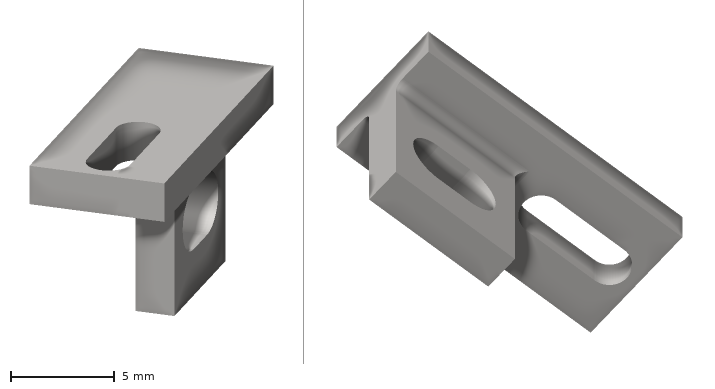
import cadquery as cq

plate_length = 16
plate_width = 6.9
plate_thickness = 2.0

total_height = 10.5
web_height = total_height - plate_thickness
web_thickness = 2.0
web_length = 7.5
root_fillet = 0.5

plate_slot_length = 6.5
plate_slot_width = 2.2
plate_slot_end_margin = 0.6

web_slot_length = 5.2
web_slot_width = 3.2
web_slot_from_back = 3.7
web_slot_above_bottom = 4

back_y = plate_length / 2
web_front_y = back_y - web_length


def make_plate():
    return cq.Workplane("XY").box(
        plate_width, plate_length, plate_thickness, centered=(True, True, False)
    )


def make_web():
    return (
        cq.Workplane("XY")
        .center(0, back_y - web_length / 2)
        .rect(web_thickness, web_length)
        .extrude(-web_height)
    )


def fillet_web_root(body):
    """Round the joint along both web sides and its front end."""
    tolerance = 0.02
    root_edges = cq.selectors.BoxSelector(
        (-web_thickness / 2 - tolerance, web_front_y - tolerance, -tolerance),
        (web_thickness / 2 + tolerance, back_y - tolerance, tolerance),
    )
    return body.edges(root_edges).fillet(root_fillet)


def make_plate_slot():
    center_y = -back_y + plate_slot_end_margin + plate_slot_length / 2
    return (
        cq.Workplane("XY")
        .center(0, center_y)
        .slot2D(plate_slot_length, plate_slot_width, 90)
        .extrude(plate_thickness)
    )


def make_web_slot():
    return (
        cq.Workplane("YZ")
        .center(back_y - web_slot_from_back, web_slot_above_bottom - web_height)
        .slot2D(web_slot_length, web_slot_width)
        .extrude(web_thickness / 2, both=True)
    )


bracket = fillet_web_root(make_plate().union(make_web()))
result = bracket.cut(make_plate_slot()).cut(make_web_slot())